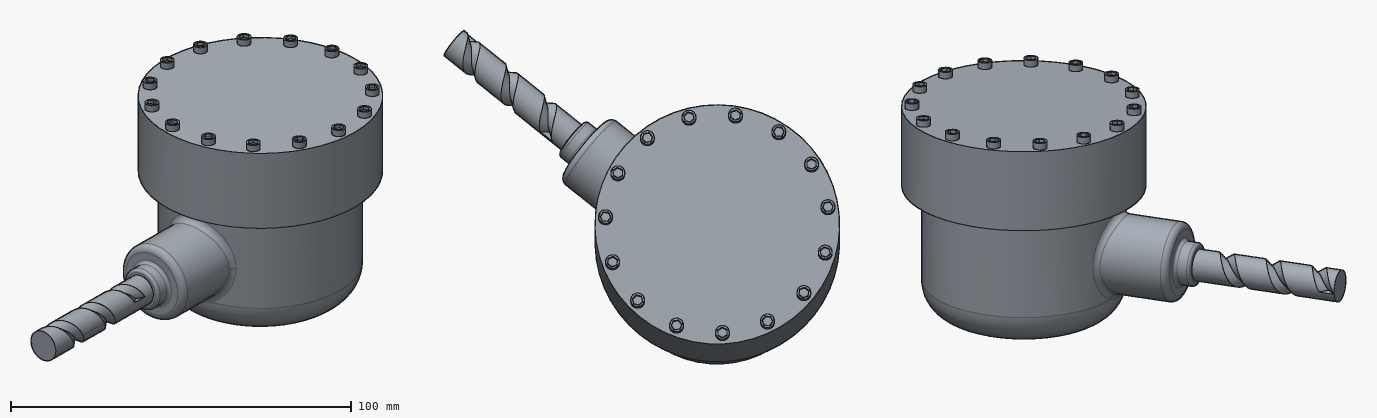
import cadquery as cq
import math

OVERALL_LENGTH = 136

LID_DIAMETER = 72.0
LID_HEIGHT = 25.0

HOUSING_RADIUS = 30.0
HOUSING_HEIGHT = 40.0
HOUSING_BOTTOM_FILLET = 10.0
RELIEF_HEIGHT = 1.0
RELIEF_DEPTH = 0.1

SCREW_COUNT = 15
SCREW_CIRCLE_RADIUS = 32.9
SCREW_RADIUS = 2.0
SCREW_HEIGHT = 2.0
SOCKET_ACROSS_CORNERS = 3.1
SOCKET_DEPTH = 1.0

OUTLET_AXIS_Z = 22.8
NOZZLE_RADIUS = 12.0
NOZZLE_END = 50.0
NOZZLE_END_FILLET = 2.0
NOZZLE_ROOT_FILLET = 2.0
SELECTION_MARGIN = 0.1
COLLAR_RADIUS = 6.5
COLLAR_END = 55.1
COLLAR_FILLET = 1.0
SHAFT_RADIUS = 4.8
SHAFT_END = OVERALL_LENGTH - LID_DIAMETER / 2

GROOVE_START = 61.2
GROOVE_START_ANGLE = 11
GROOVE_PITCH = 14.5
GROOVE_TURNS = 2.5
GROOVE_HALF_WIDTH = 2.3
GROOVE_DEPTH = 1.8
GROOVE_OVERCUT = 0.4


def make_housing():
    """Pot with a rounded bottom edge; its lower face lies on Z = 0."""
    pot_height = HOUSING_HEIGHT - RELIEF_HEIGHT
    pot = cq.Workplane("XY").circle(HOUSING_RADIUS).extrude(pot_height)
    pot = pot.faces("<Z").edges().fillet(HOUSING_BOTTOM_FILLET)
    relief = (
        cq.Workplane("XY", origin=(0, 0, pot_height))
        .circle(HOUSING_RADIUS - RELIEF_DEPTH)
        .extrude(RELIEF_HEIGHT)
    )
    return pot.union(relief)


def make_lid():
    """Plain disc resting on the housing."""
    return (
        cq.Workplane("XY", origin=(0, 0, HOUSING_HEIGHT))
        .circle(LID_DIAMETER / 2)
        .extrude(LID_HEIGHT)
    )


def outlet_cylinder(radius, end):
    """Cylinder on the outlet axis, from the housing centre out to Y = -end."""
    return (
        cq.Workplane("XZ", origin=(0, 0, OUTLET_AXIS_Z))
        .circle(radius)
        .extrude(end)
    )


def add_nozzle(housing):
    """Join the nozzle to the housing and round the edge where they meet."""
    nozzle = outlet_cylinder(NOZZLE_RADIUS, NOZZLE_END)
    nozzle = nozzle.faces("<Y").edges().fillet(NOZZLE_END_FILLET)
    joined = housing.union(nozzle)
    half_width = NOZZLE_RADIUS + SELECTION_MARGIN
    root_box = cq.selectors.BoxSelector(
        (-half_width, -HOUSING_RADIUS - SELECTION_MARGIN, OUTLET_AXIS_Z - half_width),
        (half_width, 0, OUTLET_AXIS_Z + half_width),
        boundingbox=True,
    )
    return joined.edges(root_box).fillet(NOZZLE_ROOT_FILLET)


def make_collar():
    """Turned collar: rounded outer rim, concave flare against the nozzle face."""
    corner = COLLAR_FILLET * math.sqrt(0.5)
    flare_radius = COLLAR_RADIUS + COLLAR_FILLET
    flare_end = NOZZLE_END + COLLAR_FILLET
    rim_start = COLLAR_END - COLLAR_FILLET
    profile = (
        cq.Workplane("XY", origin=(0, 0, OUTLET_AXIS_Z))
        .moveTo(0, -NOZZLE_END)
        .lineTo(flare_radius, -NOZZLE_END)
        .threePointArc(
            (flare_radius - corner, -flare_end + corner),
            (COLLAR_RADIUS, -flare_end),
        )
        .lineTo(COLLAR_RADIUS, -rim_start)
        .threePointArc(
            (COLLAR_RADIUS - COLLAR_FILLET + corner, -rim_start - corner),
            (COLLAR_RADIUS - COLLAR_FILLET, -COLLAR_END),
        )
        .lineTo(0, -COLLAR_END)
        .close()
    )
    return profile.revolve(360, (0, 0, 0), (0, 1, 0))


def make_groove_cutter():
    """Spiral V-shaped cutter, wound around the outlet axis towards -Y."""
    path = cq.Wire.makeHelix(GROOVE_PITCH, GROOVE_PITCH * GROOVE_TURNS, SHAFT_RADIUS)
    root_radius = SHAFT_RADIUS - GROOVE_DEPTH
    outer_radius = SHAFT_RADIUS + GROOVE_OVERCUT
    outer_half_width = GROOVE_HALF_WIDTH * (GROOVE_DEPTH + GROOVE_OVERCUT) / GROOVE_DEPTH
    cutter = (
        cq.Workplane("XZ")
        .moveTo(root_radius, 0)
        .lineTo(outer_radius, outer_half_width)
        .lineTo(outer_radius, -outer_half_width)
        .close()
        .sweep(cq.Workplane(obj=path), isFrenet=True)
    )
    cutter = cutter.rotate((0, 0, 0), (0, 0, 1), GROOVE_START_ANGLE)
    cutter = cutter.rotate((0, 0, 0), (1, 0, 0), 90)
    return cutter.translate((0, -GROOVE_START, OUTLET_AXIS_Z))


def screw_ring(base_z):
    """Workplane at the given height with a point for every screw, the first on the +Y side."""
    return cq.Workplane("XY", origin=(0, 0, base_z)).polarArray(
        SCREW_CIRCLE_RADIUS, 90, 360, SCREW_COUNT
    )


def make_screws():
    """Ring of screw heads on the lid; each hex socket points a corner outwards."""
    lid_top = HOUSING_HEIGHT + LID_HEIGHT
    socket_floor = lid_top + SCREW_HEIGHT - SOCKET_DEPTH
    heads = screw_ring(lid_top).circle(SCREW_RADIUS).extrude(SCREW_HEIGHT)
    sockets = screw_ring(socket_floor).polygon(6, SOCKET_ACROSS_CORNERS).extrude(SOCKET_DEPTH)
    return heads.cut(sockets)


body = add_nozzle(make_housing())
shaft = outlet_cylinder(SHAFT_RADIUS, SHAFT_END).cut(make_groove_cutter())

result = body.union(make_lid()).union(make_screws()).union(make_collar()).union(shaft)